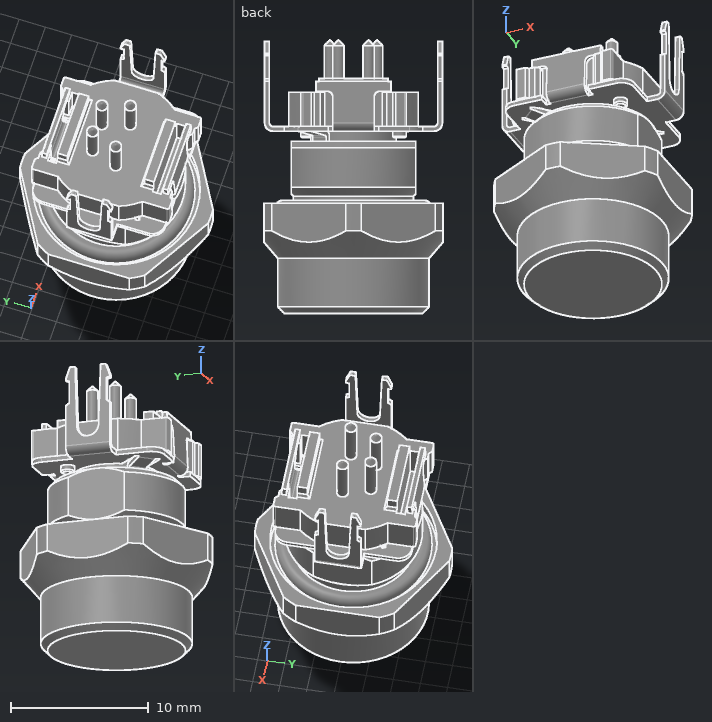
import cadquery as cq
import math


LOWER_RADIUS = 5.5
LOWER_CHAMFER = 0.5
LOWER_TOP = 4.0
HEX_ACROSS_FLATS = 13.0
HEX_OUTER_DIAMETER = 14.4
HEX_CORNER_RADIUS = HEX_OUTER_DIAMETER / 2
HEX_CONE_TOP = 6.0
HEX_TOP = 8.02
NECK_RADIUS = 4.37
NECK_TOP = 8.52
UPPER_RADIUS = 5.0
UPPER_CHAMFER = 0.48
UPPER_ACROSS_FLATS = 9.03
HOUSING_TOP = 12.5

RING_SECTION_RADIUS = 0.62
RING_TOP = 8.24
RING_RADIUS = 5.08
RING_Z = RING_TOP - RING_SECTION_RADIUS
GROOVE_RADIUS = 6.05
GROOVE_FLOOR = RING_Z - RING_SECTION_RADIUS

SHEET = 0.35
SHEET_BOTTOM = 13.22
SHEET_TOP = SHEET_BOTTOM + SHEET
BASE_SIZE = 10.06
BASE_CORNER_RADIUS = 1.0
BEND_RADIUS = 0.62
STRIP_MARGIN = 0.2

TONGUE_ANGLES = (45, 225)
TONGUE_WIDTH = 1.35
TONGUE_HINGE = 5.02
TONGUE_NOSE = 3.5
TONGUE_NOSE_BACK = TONGUE_NOSE - SHEET
TONGUE_DROP = 0.32
TONGUE_BEND_RADIUS = 0.12
SLIT_WIDTH = 0.32

LEG_REACH = 6.45
LEG_TOP = 19.75
LEG_HALF_WIDTH = 1.69
LEG_SHOULDER = 16.85
SHANK_HALF_WIDTH = 1.43
SHANK_BOTTOM = 17.03
BARB_BOTTOM = 18.68
BARB_PEAK_BOTTOM = 18.75
BARB_PEAK_TOP = 18.88
TIP_HALF_WIDTH = 1.37
FORK_RADIUS = 0.83
FORK_CENTRE_Z = 15.26
FORK_TOP_HALF_WIDTH = 0.97
TIP_ROUND = 0.1

TAB_REACH = 4.96
TAB_TOP = 16.83
TAB_LEAN = 0.18
TAB_HEAD_BOTTOM = 16.12
TAB_HEAD_WIDTH = 5.44
TAB_STEM_WIDTH = 3.02
TAB_STEM_FILLET = 0.4
RELIEF_HALF_WIDTH = 1.85
RELIEF_START = 4.19

BLOCK_TOP = 16.05
BLOCK_RADIUS = 5.0
BLOCK_HALF_WIDTH = 4.7
WING_HALF_WIDTH = 3.83
WING_REACH = 5.25
WING_CORNER = 0.15
SPIGOT_RADIUS = 3.12
WINDOW_HALF_WIDTH = 2.08
WINDOW_MOUTH = 5.02
WINDOW_LEAD_IN = 0.32
MOUTH_HALF_WIDTH = 2.84
MOUTH_LEAD_IN = WING_REACH - WINDOW_MOUTH
POCKET_HALF_WIDTH = 2.84
POCKET_INNER = 3.67
POCKET_OUTER = 4.3
RIB_WIDTH = 5.0
RIB_INNER = 2.94
RIB_TOP = 17.05
RIB_FOOT = 0.2
PEG_X = 3.33
PEG_Y = 2.6
PEG_RADIUS = 0.5
PEG_CHAMFER = 0.12
PEG_BOTTOM = 12.75

PIN_RADIUS = 0.42
PIN_TOP = 19.85
PIN_POINTS = [(-1.7, -0.5), (1.7, -0.5), (-1.1, 1.47), (1.1, 1.47)]


def cylinder(radius, bottom, top, x=0, y=0):
    return cq.Workplane("XY", origin=(x, y, bottom)).circle(radius).extrude(top - bottom)


def box(width, y_start, y_end, bottom, top):
    """Box centred on x = 0."""
    depth = y_end - y_start
    plane = cq.Workplane("XY", origin=(0, (y_start + y_end) / 2, bottom))
    return plane.rect(width, depth).extrude(top - bottom)


def half_turn(shape, turn):
    return shape.rotate((0, 0, 0), (0, 0, 1), 180 * turn)


def make_housing():
    profile = [
        (0, 0),
        (LOWER_RADIUS - LOWER_CHAMFER, 0),
        (LOWER_RADIUS, LOWER_CHAMFER),
        (LOWER_RADIUS, LOWER_TOP),
        (HEX_CORNER_RADIUS, HEX_CONE_TOP),
        (HEX_CORNER_RADIUS, HEX_TOP),
        (GROOVE_RADIUS, HEX_TOP),
        (GROOVE_RADIUS, GROOVE_FLOOR),
        (NECK_RADIUS, GROOVE_FLOOR),
        (NECK_RADIUS, NECK_TOP),
        (UPPER_RADIUS, NECK_TOP + UPPER_RADIUS - NECK_RADIUS),
        (UPPER_RADIUS, HOUSING_TOP - UPPER_CHAMFER),
        (UPPER_RADIUS - UPPER_CHAMFER, HOUSING_TOP),
        (0, HOUSING_TOP),
    ]
    turned = cq.Workplane("XZ").polyline(profile).close().revolve(360, (0, 0, 0), (0, 1, 0))

    hex_across_corners = HEX_ACROSS_FLATS / math.cos(math.pi / 6)
    hexagon = cq.Workplane("XY").polygon(6, hex_across_corners).extrude(HEX_TOP)
    hexagon = hexagon.rotate((0, 0, 0), (0, 0, 1), 30)
    flats = box(UPPER_ACROSS_FLATS, -UPPER_RADIUS, UPPER_RADIUS, HEX_TOP, HOUSING_TOP)
    return turned.intersect(hexagon.union(flats))


def make_ring():
    section = cq.Workplane("XZ").center(RING_RADIUS, RING_Z).circle(RING_SECTION_RADIUS)
    return section.revolve(360, (-RING_RADIUS, 0, 0), (-RING_RADIUS, 1, 0))


def bent_strip(plane, reach, top, lean, width):
    """Strip running outward from the axis, then bent up; its top leans inward by `lean`."""
    bend_centre = reach - BEND_RADIUS
    bend_z = SHEET_BOTTOM + BEND_RADIUS
    inner_radius = BEND_RADIUS - SHEET
    diagonal = math.sqrt(0.5)
    start = SPIGOT_RADIUS + STRIP_MARGIN
    return (
        cq.Workplane(plane)
        .moveTo(start, SHEET_BOTTOM)
        .lineTo(bend_centre, SHEET_BOTTOM)
        .threePointArc(
            (bend_centre + BEND_RADIUS * diagonal, bend_z - BEND_RADIUS * diagonal),
            (reach, bend_z),
        )
        .lineTo(reach - lean, top)
        .lineTo(reach - lean - SHEET, top)
        .lineTo(reach - SHEET, bend_z)
        .threePointArc(
            (bend_centre + inner_radius * diagonal, bend_z - inner_radius * diagonal),
            (bend_centre, SHEET_TOP),
        )
        .lineTo(start, SHEET_TOP)
        .close()
        .extrude(width / 2, both=True)
    )


def make_leg():
    half_outline = [
        (FORK_TOP_HALF_WIDTH, LEG_TOP),
        (TIP_HALF_WIDTH, LEG_TOP),
        (LEG_HALF_WIDTH, BARB_PEAK_TOP),
        (LEG_HALF_WIDTH, BARB_PEAK_BOTTOM),
        (SHANK_HALF_WIDTH, BARB_BOTTOM),
        (SHANK_HALF_WIDTH, SHANK_BOTTOM),
        (LEG_HALF_WIDTH, LEG_SHOULDER),
        (LEG_HALF_WIDTH, SHEET_BOTTOM),
    ]
    mirrored = [(-y, z) for y, z in reversed(half_outline)]
    outline = (
        cq.Workplane("YZ")
        .moveTo(FORK_RADIUS, FORK_CENTRE_Z)
        .polyline(half_outline + mirrored, includeCurrent=True)
        .lineTo(-FORK_RADIUS, FORK_CENTRE_Z)
        .threePointArc((0, FORK_CENTRE_Z - FORK_RADIUS), (FORK_RADIUS, FORK_CENTRE_Z))
        .close()
        .extrude(LEG_REACH)
    )
    outline = outline.faces(">Z").edges("|X").fillet(TIP_ROUND)
    return bent_strip("XZ", LEG_REACH, LEG_TOP, 0, 2 * LEG_HALF_WIDTH).intersect(outline)


def make_tab():
    stem = box(TAB_STEM_WIDTH, 0, TAB_REACH, SHEET_BOTTOM, TAB_TOP)
    head = box(TAB_HEAD_WIDTH, 0, TAB_REACH, TAB_HEAD_BOTTOM, TAB_TOP)
    outline = stem.union(head)
    half_stem = TAB_STEM_WIDTH / 2
    for x in (-half_stem, half_stem):
        corner = cq.selectors.NearestToPointSelector((x, TAB_REACH / 2, TAB_HEAD_BOTTOM))
        outline = outline.edges("|Y").edges(corner).fillet(TAB_STEM_FILLET)
    return bent_strip("YZ", TAB_REACH, TAB_TOP, TAB_LEAN, TAB_HEAD_WIDTH).intersect(outline)


def make_tongue_window():
    """Opening along +X for a tongue, with a round-ended slit on each side of it."""
    plane = cq.Workplane("XY", origin=(0, 0, SHEET_BOTTOM))
    width = TONGUE_WIDTH + 2 * SLIT_WIDTH
    window = plane.center(TONGUE_HINGE / 2, 0).rect(TONGUE_HINGE, width).extrude(SHEET)
    slit_offset = (TONGUE_WIDTH + SLIT_WIDTH) / 2
    ends = [(TONGUE_HINGE, -slit_offset), (TONGUE_HINGE, slit_offset)]
    return window.union(plane.pushPoints(ends).circle(SLIT_WIDTH / 2).extrude(SHEET))


def make_tongue():
    """Tongue sloping inward from its hinge on +X, its nose bent down onto the housing."""
    side = [
        (TONGUE_HINGE, SHEET_BOTTOM),
        (TONGUE_NOSE, SHEET_BOTTOM - TONGUE_DROP),
        (TONGUE_NOSE, HOUSING_TOP),
        (TONGUE_NOSE_BACK, HOUSING_TOP),
        (TONGUE_NOSE_BACK, SHEET_TOP - TONGUE_DROP),
        (TONGUE_HINGE, SHEET_TOP),
    ]
    tongue = cq.Workplane("XZ").polyline(side).close().extrude(TONGUE_WIDTH / 2, both=True)
    inner_bend = (TONGUE_NOSE, 0, SHEET_BOTTOM - TONGUE_DROP)
    outer_bend = (TONGUE_NOSE_BACK, 0, SHEET_TOP - TONGUE_DROP)
    for bend, radius in ((inner_bend, TONGUE_BEND_RADIUS), (outer_bend, TONGUE_BEND_RADIUS + SHEET)):
        edge = cq.selectors.NearestToPointSelector(bend)
        tongue = tongue.edges("|Y").edges(edge).fillet(radius)
    return tongue


def make_clip():
    base = cq.Workplane("XY", origin=(0, 0, SHEET_BOTTOM)).rect(BASE_SIZE, BASE_SIZE).extrude(SHEET)
    base = base.edges("|Z").fillet(BASE_CORNER_RADIUS)
    base = base.cut(cylinder(SPIGOT_RADIUS, SHEET_BOTTOM, SHEET_TOP))
    relief = box(2 * RELIEF_HALF_WIDTH, RELIEF_START, BASE_SIZE / 2, SHEET_BOTTOM, SHEET_TOP)
    for turn in (0, 1):
        base = base.cut(half_turn(relief, turn))
    for side in (-1, 1):
        base = base.cut(cylinder(PEG_RADIUS, SHEET_BOTTOM, SHEET_TOP, side * PEG_X, -side * PEG_Y))
    window = make_tongue_window()
    tongue = make_tongue()
    for angle in TONGUE_ANGLES:
        base = base.cut(window.rotate((0, 0, 0), (0, 0, 1), angle))
        base = base.union(tongue.rotate((0, 0, 0), (0, 0, 1), angle))
    leg = make_leg()
    tab = make_tab()
    for turn in (0, 1):
        base = base.union(half_turn(leg, turn)).union(half_turn(tab, turn))
    return base


def make_block():
    height = BLOCK_TOP - SHEET_TOP
    drum = cylinder(BLOCK_RADIUS, SHEET_TOP, BLOCK_TOP)
    drum = drum.intersect(box(2 * BLOCK_HALF_WIDTH, -BLOCK_RADIUS, BLOCK_RADIUS, SHEET_TOP, BLOCK_TOP))
    wings = cq.Workplane("XY", origin=(0, 0, SHEET_TOP)).rect(2 * WING_HALF_WIDTH, 2 * WING_REACH)
    wings = wings.extrude(height).edges("|Z").fillet(WING_CORNER)
    return drum.union(wings)


def make_tab_pocket():
    """Opening around a clip tab: a wide pocket, a narrower window and a stepped mouth."""
    half_outline = [
        (POCKET_HALF_WIDTH, POCKET_INNER),
        (POCKET_HALF_WIDTH, POCKET_OUTER),
        (WINDOW_HALF_WIDTH, POCKET_OUTER),
        (WINDOW_HALF_WIDTH, WINDOW_MOUTH - WINDOW_LEAD_IN),
        (WINDOW_HALF_WIDTH + WINDOW_LEAD_IN, WINDOW_MOUTH),
        (MOUTH_HALF_WIDTH, WINDOW_MOUTH),
        (MOUTH_HALF_WIDTH + MOUTH_LEAD_IN, WING_REACH),
    ]
    mirrored = [(-x, y) for x, y in reversed(half_outline)]
    outline = cq.Workplane("XY", origin=(0, 0, SHEET_TOP)).polyline(half_outline + mirrored).close()
    return outline.extrude(BLOCK_TOP - SHEET_TOP)


def make_rib():
    """Upright rib beside a pocket, its foot flared on the three sides away from the pocket."""
    rib = box(RIB_WIDTH, RIB_INNER, POCKET_INNER, BLOCK_TOP, RIB_TOP)
    foot_depth = POCKET_INNER - RIB_INNER
    plane = cq.Workplane("XY", origin=(0, POCKET_INNER, BLOCK_TOP))
    foot = plane.rect(RIB_WIDTH + 2 * RIB_FOOT, 2 * (foot_depth + RIB_FOOT)).extrude(RIB_FOOT, taper=45)
    pocket_side = box(2 * RIB_WIDTH, POCKET_INNER, 2 * POCKET_INNER, BLOCK_TOP, RIB_TOP)
    return rib.union(foot.cut(pocket_side))


def make_peg():
    peg = cylinder(PEG_RADIUS, PEG_BOTTOM, SHEET_TOP, PEG_X, -PEG_Y)
    return peg.faces("<Z").chamfer(PEG_CHAMFER)


def make_pin(x, y):
    pin = cylinder(PIN_RADIUS, BLOCK_TOP, PIN_TOP - PIN_RADIUS, x, y)
    tip = cq.Solid.makeCone(PIN_RADIUS, 0, PIN_RADIUS, cq.Vector(x, y, PIN_TOP - PIN_RADIUS))
    return pin.union(cq.Workplane(tip))


def make_insulator():
    insulator = make_block().union(cylinder(SPIGOT_RADIUS, HOUSING_TOP, SHEET_TOP))
    pocket = make_tab_pocket()
    additions = [make_rib(), make_peg()]
    for turn in (0, 1):
        insulator = insulator.cut(half_turn(pocket, turn))
        for addition in additions:
            insulator = insulator.union(half_turn(addition, turn))
    for x, y in PIN_POINTS:
        insulator = insulator.union(make_pin(x, y))
    return insulator


housing = make_housing()
ring = make_ring()
clip = make_clip()
insulator = make_insulator()

result = cq.Compound.makeCompound([housing.val(), ring.val(), clip.val(), insulator.val()])